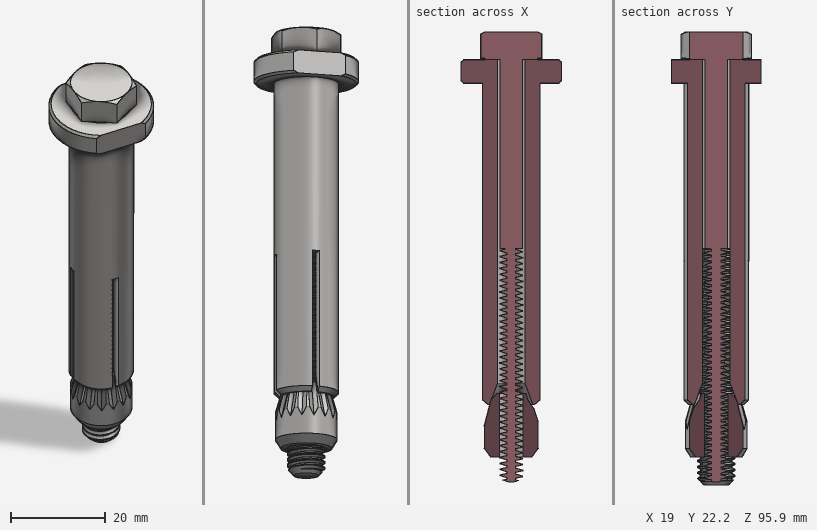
import cadquery as cq
import math


thread_dia = 8.0
thread_pitch = 1.25
flank_angle = 30.0
thread_depth = 5 / 8 * math.cos(math.radians(flank_angle)) * thread_pitch
crest_width = thread_pitch / 8
flank_slope = math.tan(math.radians(flank_angle))
ridge_overlap = 0.05
block_turns = 8
block_count = 5
block_length = block_turns * thread_pitch
thread_top = block_count * block_length
crest_height_at_x = 0.72
tip_dia = 5.2
tip_length = 1.5
tip_clearance = 0.05
head_across_flats = 13.0
head_height = 5.85
washer_face_dia = 12.9
washer_face_height = 0.25
head_chamfer_angle = 30.0

sleeve_dia = 13.75
sleeve_bore = 8.5
sleeve_bottom = 17.0
sleeve_end_chamfer = 1.0
flange_dia = 22.2
flange_width = 19.0
flange_thickness = 5.0
flange_underside = 85.0
flange_chamfer = 0.5
flange_top = flange_underside + flange_thickness
slot_width = 1.5
slot_length = 30.4
slot_count = 4

nut_dia = 13.1
nut_bottom = 5.9
nut_top = 19.4
nut_chamfer_height = 1.85
nut_chamfer_width = 1.15
cone_start = 13.5
cone_angle = 16.0
cone_slope = math.tan(math.radians(cone_angle))
knurl_count = 16
knurl_depth = 0.48
knurl_width = 2.1
knurl_turn = -2.8


def cone_radius(height):
    return nut_dia / 2 - (height - cone_start) * cone_slope


def cone_height(radius):
    return cone_start + (nut_dia / 2 - radius) / cone_slope


def revolved(points):
    """Turn a half outline of (radius, height) points about Z."""
    return cq.Workplane("XZ").polyline(points).close().revolve(360, (0, 0), (0, 1))


def make_head():
    """Hexagon with chamfered top corners, on a thin round washer face."""
    face_radius = head_across_flats / 2
    corner_dia = head_across_flats / math.cos(math.pi / 6)
    corner_drop = face_radius * math.tan(math.radians(head_chamfer_angle))
    hexagon_bottom = flange_top + washer_face_height
    top = flange_top + head_height
    hexagon = cq.Workplane("XY").workplane(offset=hexagon_bottom).polygon(6, corner_dia)
    corner_cone = revolved([
        (0, hexagon_bottom),
        (2 * face_radius, hexagon_bottom),
        (2 * face_radius, top - corner_drop),
        (face_radius, top),
        (0, top),
    ])
    head = hexagon.extrude(top - hexagon_bottom).intersect(corner_cone)
    washer_face = cq.Workplane("XY").workplane(offset=flange_top).circle(washer_face_dia / 2)
    return head.union(washer_face.extrude(washer_face_height))


def make_thread_block():
    """A whole number of thread turns between two flat ends, the lower one at Z = 0."""
    core_radius = thread_dia / 2 - thread_depth
    inner_radius = core_radius - ridge_overlap
    crest_half = crest_width / 2
    foot_half = crest_half + (thread_dia / 2 - inner_radius) * flank_slope
    ridge_start = crest_height_at_x - 2 * thread_pitch
    ridge_length = block_length + 3 * thread_pitch
    path = cq.Wire.makeHelix(thread_pitch, ridge_length, core_radius, center=cq.Vector(0, 0, ridge_start))
    ridge = (
        cq.Workplane("XZ")
        .polyline([
            (inner_radius, ridge_start - foot_half),
            (thread_dia / 2, ridge_start - crest_half),
            (thread_dia / 2, ridge_start + crest_half),
            (inner_radius, ridge_start + foot_half),
        ])
        .close()
        .sweep(cq.Workplane(path), isFrenet=True)
    )
    core_bottom = ridge_start - thread_pitch
    core_length = ridge_length + 2 * thread_pitch
    core = cq.Workplane("XY").workplane(offset=core_bottom).circle(core_radius).extrude(core_length)
    trim = cq.Workplane("XY").circle(thread_dia).extrude(block_length)
    return core.union(ridge, clean=False).intersect(trim, clean=False)


def make_bolt():
    block = make_thread_block()
    tapered_tip = revolved([
        (0, 0),
        (tip_dia / 2, 0),
        (thread_dia / 2 + tip_clearance, tip_length),
        (thread_dia / 2 + tip_clearance, block_length),
        (0, block_length),
    ])
    tip_block = block.intersect(tapered_tip, clean=False)
    plain_blocks = [block.translate((0, 0, i * block_length)).val() for i in range(1, block_count)]
    shank = cq.Workplane("XY").workplane(offset=thread_top).circle(thread_dia / 2).extrude(flange_top - thread_top)
    shank_and_head = shank.union(make_head())
    joined = tip_block.val().fuse(*plain_blocks, shank_and_head.val(), glue=True)
    return cq.Workplane(joined.Solids()[0])


def make_flange():
    flange = (
        cq.Workplane("XY").workplane(offset=flange_underside)
        .circle(flange_dia / 2).extrude(flange_thickness)
        .edges().chamfer(flange_chamfer)
    )
    flats = cq.Workplane("XY").workplane(offset=flange_underside).rect(flange_width, 2 * flange_dia)
    return flange.intersect(flats.extrude(flange_thickness))


def make_sleeve():
    bore_radius = sleeve_bore / 2
    tube = (
        cq.Workplane("XY").workplane(offset=sleeve_bottom)
        .circle(sleeve_dia / 2).extrude(flange_top - sleeve_bottom)
        .faces("<Z").chamfer(sleeve_end_chamfer)
    )
    seated_bore = revolved([
        (0, sleeve_bottom),
        (cone_radius(sleeve_bottom), sleeve_bottom),
        (bore_radius, cone_height(bore_radius)),
        (bore_radius, flange_top),
        (0, flange_top),
    ])
    sleeve = tube.union(make_flange()).cut(seated_bore)
    for i in range(slot_count):
        slot = (
            cq.Workplane("XY").workplane(offset=sleeve_bottom)
            .center(sleeve_dia / 2, 0).rect(sleeve_dia, slot_width).extrude(slot_length)
            .rotate((0, 0, 0), (0, 0, 1), i * 360 / slot_count)
        )
        sleeve = sleeve.cut(slot)
    return sleeve


def make_knurl_groove():
    """V groove along the +X side of the cone, parallel to the cone surface."""
    flank = knurl_width / 2 / knurl_depth
    outer = 2 * knurl_depth
    half_length = nut_top - nut_bottom
    groove = (
        cq.Workplane("XY").workplane(offset=-half_length)
        .polyline([
            (-knurl_depth, 0),
            (outer, (outer + knurl_depth) * flank),
            (outer, -(outer + knurl_depth) * flank),
        ])
        .close().extrude(2 * half_length)
    )
    return groove.rotate((0, 0, 0), (0, 1, 0), -cone_angle).translate((nut_dia / 2, 0, cone_start))


def make_nut():
    nut_radius = nut_dia / 2
    nut = revolved([
        (thread_dia / 2, nut_bottom),
        (nut_radius - nut_chamfer_width, nut_bottom),
        (nut_radius, nut_bottom + nut_chamfer_height),
        (nut_radius, cone_start),
        (cone_radius(nut_top), nut_top),
        (thread_dia / 2, nut_top),
    ])
    for i in range(knurl_count):
        angle = knurl_turn + i * 360 / knurl_count
        nut = nut.cut(make_knurl_groove().rotate((0, 0, 0), (0, 0, 1), angle))
    return nut


bolt = make_bolt()
sleeve = make_sleeve()
nut = make_nut()

result = cq.Compound.makeCompound([bolt.val(), sleeve.val(), nut.val()])